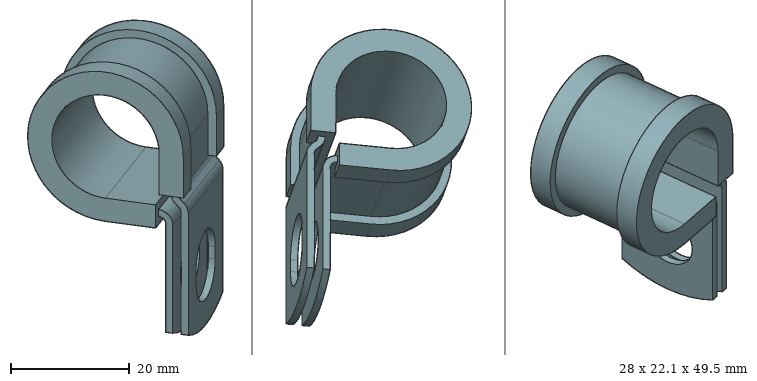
import cadquery as cq
import math


bore_radius = 9.5
strap_thickness = 1.25
strap_outer_radius = 12.3
strap_inner_radius = strap_outer_radius - strap_thickness
cushion_radius = 13.8

cushion_width = 22.1
groove_width = 13.9
strap_width = 18.9
flange_width = (cushion_width - groove_width) / 2

lower_end_x = 8.9
upper_end_z = -7.55

leg_bottom_z = -35.68
outer_leg_x = 14.16
bend_radius = 1.25
jog_straight = 0.2
jog_radius = 1.0
jog_angle = math.radians(45)
tip_radius = 22.3
hole_diameter = 10.35
hole_z = -24.6
slot_length = 12.7


def extrude_centred(profile, width):
    """Extrude a profile drawn in the XZ plane evenly to both sides of Y = 0."""
    return profile.extrude(width / 2, both=True)


def loop(inner_radius, outer_radius, width):
    """Three-quarter ring with straight runs along the bottom and the +X side."""
    corner = math.sqrt(0.5)
    profile = (
        cq.Workplane("XZ")
        .moveTo(outer_radius, upper_end_z)
        .lineTo(outer_radius, 0)
        .threePointArc((-outer_radius * corner, outer_radius * corner), (0, -outer_radius))
        .lineTo(lower_end_x, -outer_radius)
        .lineTo(lower_end_x, -inner_radius)
        .lineTo(0, -inner_radius)
        .threePointArc((-inner_radius * corner, inner_radius * corner), (inner_radius, 0))
        .lineTo(inner_radius, upper_end_z)
        .close()
    )
    return extrude_centred(profile, width)


def cushion():
    """Rubber liner with a raised flange along each side of the strap."""
    body = loop(bore_radius, strap_outer_radius, cushion_width)
    flange = loop(bore_radius, cushion_radius, flange_width)
    offset = (cushion_width - flange_width) / 2
    for side in (-1, 1):
        body = body.union(flange.translate((0, side * offset, 0)))
    return body


def lower_leg():
    """Leg that bends a quarter turn down from the bottom run."""
    outer_bend = bend_radius + strap_thickness
    bend_z = -strap_inner_radius - outer_bend
    diagonal = math.sqrt(0.5)

    def bend_point(radius):
        return (lower_end_x + radius * diagonal, bend_z + radius * diagonal)

    profile = (
        cq.Workplane("XZ")
        .moveTo(lower_end_x, -strap_inner_radius)
        .threePointArc(bend_point(outer_bend), (lower_end_x + outer_bend, bend_z))
        .lineTo(lower_end_x + outer_bend, leg_bottom_z)
        .lineTo(lower_end_x + bend_radius, leg_bottom_z)
        .lineTo(lower_end_x + bend_radius, bend_z)
        .threePointArc(bend_point(bend_radius), (lower_end_x, -strap_outer_radius))
        .close()
    )
    return extrude_centred(profile, strap_width)


def upper_leg():
    """Leg that jogs outward below the +X side and then runs straight down."""
    outer_bend = jog_radius + strap_thickness
    shift = outer_leg_x - strap_outer_radius
    both_radii = jog_radius + outer_bend
    slope_length = (shift - both_radii * (1 - math.cos(jog_angle))) / math.sin(jog_angle)
    drop = both_radii * math.sin(jog_angle) + slope_length * math.cos(jog_angle)
    jog_start_z = upper_end_z - jog_straight
    jog_end_z = jog_start_z - drop
    first_centre_x = strap_outer_radius + jog_radius
    second_centre_x = outer_leg_x - outer_bend

    def first_bend(radius, angle):
        x = first_centre_x - radius * math.cos(angle)
        return (x, jog_start_z - radius * math.sin(angle))

    def second_bend(radius, angle):
        x = second_centre_x + radius * math.cos(angle)
        return (x, jog_end_z + radius * math.sin(angle))

    half = jog_angle / 2
    profile = (
        cq.Workplane("XZ")
        .moveTo(strap_outer_radius, upper_end_z)
        .lineTo(*first_bend(jog_radius, 0))
        .threePointArc(first_bend(jog_radius, half), first_bend(jog_radius, jog_angle))
        .lineTo(*second_bend(outer_bend, jog_angle))
        .threePointArc(second_bend(outer_bend, half), second_bend(outer_bend, 0))
        .lineTo(outer_leg_x, leg_bottom_z)
        .lineTo(outer_leg_x - strap_thickness, leg_bottom_z)
        .lineTo(*second_bend(jog_radius, 0))
        .threePointArc(second_bend(jog_radius, half), second_bend(jog_radius, jog_angle))
        .lineTo(*first_bend(outer_bend, jog_angle))
        .threePointArc(first_bend(outer_bend, half), first_bend(outer_bend, 0))
        .lineTo(strap_inner_radius, upper_end_z)
        .close()
    )
    return extrude_centred(profile, strap_width)


def leg_outline():
    """Block along X with the rounded tip shared by both legs."""
    half_width = strap_width / 2
    tip_rise = tip_radius - math.sqrt(tip_radius**2 - half_width**2)
    shoulder_z = leg_bottom_z + tip_rise
    return (
        cq.Workplane("YZ")
        .moveTo(-half_width, 0)
        .lineTo(-half_width, shoulder_z)
        .threePointArc((0, leg_bottom_z), (half_width, shoulder_z))
        .lineTo(half_width, 0)
        .close()
        .extrude(outer_leg_x)
    )


def bolt_hole():
    """Round hole through the lower leg."""
    return cq.Workplane("YZ").center(0, hole_z).circle(hole_diameter / 2).extrude(outer_leg_x)


def bolt_slot():
    """Hole through the upper leg, lengthened along Z for adjustment."""
    return (
        cq.Workplane("YZ")
        .center(0, hole_z)
        .slot2D(slot_length, hole_diameter, 90)
        .extrude(outer_leg_x)
    )


legs = lower_leg().cut(bolt_hole()).union(upper_leg().cut(bolt_slot()))
result = cushion().union(legs.intersect(leg_outline()))